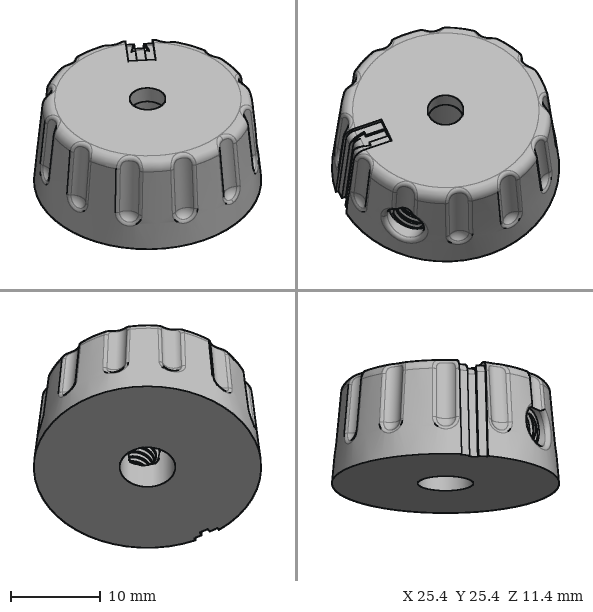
import math

import cadquery as cq

BASE_RADIUS = 12.7
HEIGHT = 11.43
DRAFT_ANGLE = 5.3
RIM_FILLET = 1.35

TOP_HOLE_DIAMETER = 4.0
SHAFT_BORE_DIAMETER = 6.2
TOP_HOLE_DEPTH = 1.905

GROOVE_COUNT = 12
GROOVE_CUTTER_RADIUS = 1.42
GROOVE_AXIS_STANDOFF = 0.66
GROOVE_END_HEIGHT = 4.48
POCKET_EDGE_FILLET = 0.49

SCREW_HEIGHT = 4.98
COUNTERBORE_DIAMETER = 4.5
COUNTERBORE_FLOOR_RADIUS = 10.75
THREAD_MINOR_DIAMETER = 3.33
THREAD_MAJOR_DIAMETER = 4.11
THREAD_PITCH = 25.4 / 32
THREAD_ROOT_FLAT = THREAD_PITCH / 8
THREAD_ANGLE = 60.0
THREAD_OVERLAP = 0.1
THREAD_RUN_IN = 0.9 * THREAD_PITCH

POINTER_ANGLE = 135.0
POINTER_START_RADIUS = 7.1
SLOT_WIDTH = 3.06
SLOT_TOP_DEPTH = 0.45
SLOT_SIDE_DEPTH = 0.42
SLOT_RIM_FILLET = 1.0
LINE_WIDTH = 1.04
LINE_TOP_DEPTH = 0.81
LINE_SIDE_DEPTH = 0.87
LINE_RIM_FILLET = 0.87
ARROW_BASE_RADIUS = 9.39
ARROW_BASE_WIDTH = 2.0
ARROW_TIP_RADIUS = 13.1

CLEARANCE = 2.0

draft = math.radians(DRAFT_ANGLE)


def side_radius(z):
    """Radius of the tapered side at height z."""
    return BASE_RADIUS - z * math.tan(draft)


def make_body():
    """Solid tapered disc with its top rim rounded."""
    profile = (
        cq.Workplane("XZ")
        .polyline([(0, 0), (BASE_RADIUS, 0), (side_radius(HEIGHT), HEIGHT), (0, HEIGHT)])
        .close()
    )
    body = profile.revolve(360, (0, 0, 0), (0, 1, 0))
    return body.faces(">Z").edges().fillet(RIM_FILLET)


def make_groove_cutter(angle):
    """Cylinder with a ball end, parallel to the side line at the given angle."""
    outward = cq.Vector(math.cos(draft), 0, math.sin(draft))
    upward = cq.Vector(-math.sin(draft), 0, math.cos(draft))
    surface_point = cq.Vector(side_radius(GROOVE_END_HEIGHT), 0, GROOVE_END_HEIGHT)
    end = surface_point + outward * GROOVE_AXIS_STANDOFF
    length = HEIGHT - GROOVE_END_HEIGHT + CLEARANCE
    profile = (
        cq.Workplane(cq.Plane(origin=end, xDir=outward, normal=outward.cross(upward)))
        .moveTo(0, -GROOVE_CUTTER_RADIUS)
        .radiusArc((GROOVE_CUTTER_RADIUS, 0), -GROOVE_CUTTER_RADIUS)
        .lineTo(GROOVE_CUTTER_RADIUS, length)
        .lineTo(0, length)
        .close()
    )
    cutter = profile.revolve(360, (0, 0, 0), (0, 1, 0))
    return cutter.rotate((0, 0, 0), (0, 0, 1), angle)


def screw_cylinder(diameter, inner_radius):
    """Cylinder along the screw axis, from inner_radius out past the -X side."""
    plane = cq.Plane(origin=(-inner_radius, 0, SCREW_HEIGHT), xDir=(0, 1, 0), normal=(-1, 0, 0))
    return cq.Workplane(plane).circle(diameter / 2).extrude(BASE_RADIUS + CLEARANCE - inner_radius)


def cut_grooves_and_counterbore(body):
    """Cut the grooves and the counterbore, then round their edges on the outer skin."""
    cut = body
    for index in range(GROOVE_COUNT):
        cut = cut.cut(make_groove_cutter(index * 360 / GROOVE_COUNT))
    cut = cut.cut(screw_cylinder(COUNTERBORE_DIAMETER, COUNTERBORE_FLOOR_RADIUS))
    return cut.newObject(skin_edges(cut)).fillet(POCKET_EDGE_FILLET)


def skin_edges(cut):
    """Edges where a cylindrical or ball-shaped pocket meets the side or the rounded rim."""
    solid = cut.val()
    skin = [face for face in solid.Faces() if face.geomType() in ("CONE", "TORUS")]
    pockets = [face for face in solid.Faces() if face.geomType() in ("CYLINDER", "SPHERE")]
    pocket_edges = {edge.hashCode() for face in pockets for edge in face.Edges()}
    return [edge for face in skin for edge in face.Edges() if edge.hashCode() in pocket_edges]


def make_thread_cutter():
    """Helical V groove that runs from inside the shaft bore to the counterbore."""
    start_radius = SHAFT_BORE_DIAMETER / 2 - THREAD_RUN_IN
    length = COUNTERBORE_FLOOR_RADIUS + THREAD_PITCH / 2 - start_radius
    minor = THREAD_MINOR_DIAMETER / 2
    major = THREAD_MAJOR_DIAMETER / 2
    inner = minor - THREAD_OVERLAP
    half_root = THREAD_ROOT_FLAT / 2
    half_mouth = half_root + (major - inner) * math.tan(math.radians(THREAD_ANGLE / 2))
    helix = cq.Wire.makeHelix(THREAD_PITCH, length, minor)
    profile = (
        cq.Workplane("XZ")
        .polyline([(inner, -half_mouth), (major, -half_root), (major, half_root), (inner, half_mouth)])
        .close()
    )
    thread = profile.sweep(cq.Workplane(helix), isFrenet=True)
    return thread.rotate((0, 0, 0), (0, 1, 0), -90).translate((-start_radius, 0, SCREW_HEIGHT))


def pointer_cutter(width, top_depth, side_depth, rim_fillet):
    """Slot cutter: everything outside a copy of the body outline sunk below the surface."""
    floor = HEIGHT - top_depth
    run = HEIGHT + CLEARANCE
    outline = [
        (POINTER_START_RADIUS, -CLEARANCE),
        (side_radius(-CLEARANCE) - side_depth, -CLEARANCE),
        (side_radius(floor) - side_depth, floor),
        (POINTER_START_RADIUS, floor),
    ]
    core = cq.Workplane("XZ").polyline(outline).close().extrude(width, both=True)
    core = core.edges("|Y").edges(">Z").edges(">X").fillet(rim_fillet)
    block = (
        cq.Workplane("XY")
        .box(BASE_RADIUS + CLEARANCE - POINTER_START_RADIUS, width, run, centered=(False, True, False))
        .translate((POINTER_START_RADIUS, 0, 0))
    )
    return block.cut(core).rotate((0, 0, 0), (0, 0, 1), POINTER_ANGLE)


def make_arrow_cutter():
    """Outward-pointing triangle cut to the depth of the narrow groove."""
    half_base = ARROW_BASE_WIDTH / 2
    corners = [(ARROW_BASE_RADIUS, -half_base), (ARROW_TIP_RADIUS, 0), (ARROW_BASE_RADIUS, half_base)]
    arrow = (
        cq.Workplane("XY", origin=(0, 0, HEIGHT - LINE_TOP_DEPTH))
        .polyline(corners)
        .close()
        .extrude(LINE_TOP_DEPTH + CLEARANCE)
    )
    return arrow.rotate((0, 0, 0), (0, 0, 1), POINTER_ANGLE)


def cut_bore(body):
    """Cut the shaft bore from below and the small hole through the top."""
    bore_depth = HEIGHT - TOP_HOLE_DEPTH
    shaft_bore = cq.Workplane("XY").circle(SHAFT_BORE_DIAMETER / 2).extrude(bore_depth)
    top_hole = cq.Workplane("XY").circle(TOP_HOLE_DIAMETER / 2).extrude(HEIGHT)
    return body.cut(shaft_bore).cut(top_hole)


knob = cut_grooves_and_counterbore(make_body())
knob = knob.cut(pointer_cutter(SLOT_WIDTH, SLOT_TOP_DEPTH, SLOT_SIDE_DEPTH, SLOT_RIM_FILLET))
knob = knob.cut(pointer_cutter(LINE_WIDTH, LINE_TOP_DEPTH, LINE_SIDE_DEPTH, LINE_RIM_FILLET))
knob = knob.cut(make_arrow_cutter())
knob = cut_bore(knob)
threaded_hole = screw_cylinder(THREAD_MINOR_DIAMETER, 0).union(make_thread_cutter())

result = knob.cut(threaded_hole)